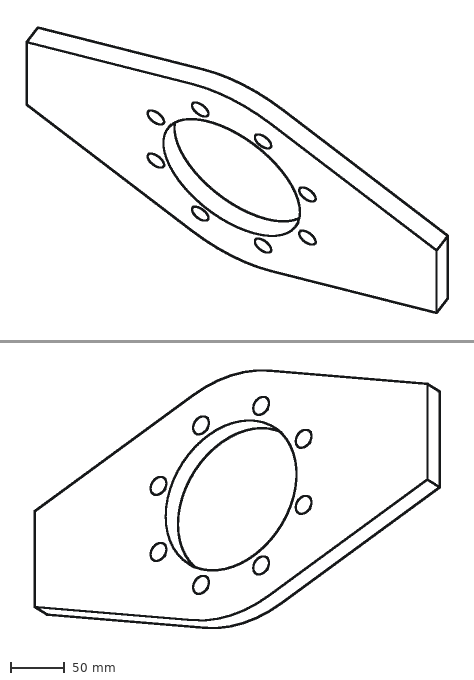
import cadquery as cq
import math

length = 450.0
thickness = 20.0
end_height = 100.0
crown_radius = 125.0
bore_diameter = 150.0
bolt_circle_diameter = 180.0
bolt_hole_diameter = 18.0
bolt_hole_count = 8

half_length = length / 2
half_end = end_height / 2
corner_distance = math.hypot(half_length, half_end)
corner_angle = math.atan2(half_end, half_length)
tangent_angle = corner_angle + math.acos(crown_radius / corner_distance)
tangent_x = crown_radius * math.cos(tangent_angle)
tangent_z = crown_radius * math.sin(tangent_angle)

plate = (
    cq.Workplane("XZ")
    .moveTo(-half_length, -half_end)
    .lineTo(-half_length, half_end)
    .lineTo(-tangent_x, tangent_z)
    .threePointArc((0, crown_radius), (tangent_x, tangent_z))
    .lineTo(half_length, half_end)
    .lineTo(half_length, -half_end)
    .lineTo(tangent_x, -tangent_z)
    .threePointArc((0, -crown_radius), (-tangent_x, -tangent_z))
    .close()
    .extrude(thickness)
)

bore = cq.Workplane("XZ").circle(bore_diameter / 2).extrude(thickness)

half_pitch_angle = 180 / bolt_hole_count
bolt_holes = (
    cq.Workplane("XZ")
    .polarArray(bolt_circle_diameter / 2, half_pitch_angle, 360, bolt_hole_count)
    .circle(bolt_hole_diameter / 2)
    .extrude(thickness)
)

result = plate.cut(bore).cut(bolt_holes)